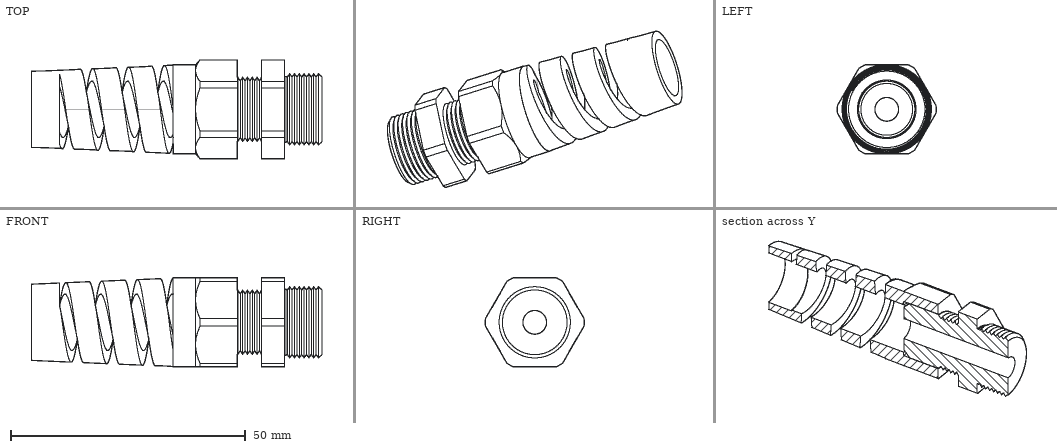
import cadquery as cq
import math


hex_across_flats = 19.05
hex_corner_diameter = 21.14

tail_ring_end = 6.0
collar_start = 30.2
hex_start = 35.0
nut_end = 43.9
body_hex_start = 49.05
body_hex_end = 54.0
gland_end = 61.98

tail_tip_radius = 8.15
tail_base_radius = 9.45
tail_ring_bore_radius = 6.25
coil_bore_radius = 6.0
spiral_pitch = 7.62
spiral_slot_inner_width = 2.3
spiral_slot_draft = 4.0
spiral_turns = 4
spiral_overcut = 1.0

collar_radius = hex_across_flats / 2
hex_bevel_length = 0.95

cable_hole_radius = 2.5
shank_end_radius = 5.52
thread_pitch = 1.02
shank_thread_crest_radius = 6.85
shank_thread_root_radius = 6.1
entry_thread_crest_radius = 7.6
entry_thread_root_radius = 6.9
first_shank_crest = 44.03
shank_crest_count = 5
neck_radius = 7.05
neck_end = 54.3
first_entry_crest = 55.08
entry_crest_count = 7


def revolve_about_x(points):
    """Solid of revolution about X from a closed outline of (x, radius) points."""
    return cq.Workplane("XZ").polyline(points).close().revolve(360, (0, 0, 0), (1, 0, 0))


def cylinder(x_start, x_end, radius):
    """Cylinder on the X axis."""
    return cq.Workplane("YZ").workplane(offset=x_start).circle(radius).extrude(x_end - x_start)


def hexagon(x_start, x_end):
    """Hexagonal bar with flats at +Z and -Z and its corners turned down."""
    sharp_corner_diameter = hex_across_flats / math.cos(math.pi / 6)
    bar = cq.Workplane("YZ").workplane(offset=x_start)
    bar = bar.polygon(6, sharp_corner_diameter).extrude(x_end - x_start)
    return bar.intersect(cylinder(x_start, x_end, hex_corner_diameter / 2))


def tail_and_collar():
    """Tapered tail tube and the straight collar behind it, before the spiral slot is cut."""
    return revolve_about_x([
        (0, tail_ring_bore_radius),
        (0, tail_tip_radius),
        (collar_start, tail_base_radius),
        (collar_start, collar_radius),
        (hex_start, collar_radius),
        (hex_start, coil_bore_radius),
        (tail_ring_end, coil_bore_radius),
        (tail_ring_end, tail_ring_bore_radius),
    ])


def spiral_slot():
    """Right-handed helical cutter, limited to the length between the tail ring and the collar.

    Its centre line crosses +Z at the end of the tail ring.
    """
    inner = coil_bore_radius - spiral_overcut
    outer = tail_base_radius + spiral_overcut
    middle = (inner + outer) / 2
    path = cq.Wire.makeHelix(spiral_pitch, spiral_turns * spiral_pitch, middle)
    draft_slope = math.tan(math.radians(spiral_slot_draft))
    inner_half = spiral_slot_inner_width / 2 - spiral_overcut * draft_slope
    outer_half = inner_half + (outer - inner) * draft_slope
    cutter = (
        cq.Workplane("XZ")
        .polyline([(inner, -inner_half), (outer, -outer_half), (outer, outer_half), (inner, inner_half)])
        .close()
        .sweep(cq.Workplane(path), isFrenet=True)
    )
    slot_start = tail_ring_end - spiral_pitch / 2
    cutter = cutter.rotate((0, 0, 0), (0, 1, 0), 90).translate((slot_start, 0, 0))
    return cutter.intersect(cylinder(tail_ring_end, collar_start, outer + spiral_overcut))


def bevelled_nut_hexagon():
    """Hexagon of the dome nut, coned down to the collar at its tail end."""
    cone = revolve_about_x([
        (hex_start, 0),
        (hex_start, collar_radius),
        (hex_start + hex_bevel_length, hex_corner_diameter / 2),
        (nut_end, hex_corner_diameter / 2),
        (nut_end, 0),
    ])
    return hexagon(hex_start, nut_end).intersect(cone)


def make_dome_nut():
    """Dome nut in one piece with its spiral tail."""
    hexagon_part = bevelled_nut_hexagon().cut(cylinder(hex_start, nut_end, shank_thread_crest_radius))
    return tail_and_collar().cut(spiral_slot()).union(hexagon_part)


def thread_points(first_crest, count, crest_radius, root_radius):
    """Outline of ring-shaped V threads: each crest followed by its root."""
    points = []
    for index in range(count):
        crest = first_crest + index * thread_pitch
        points.append((crest, crest_radius))
        points.append((crest + thread_pitch / 2, root_radius))
    return points


def make_gland_body():
    """Gland body: shank inside the nut, two threads, hexagon and cable hole."""
    shank_chamfer = shank_thread_crest_radius - shank_end_radius
    shank_threads = thread_points(
        first_shank_crest, shank_crest_count, shank_thread_crest_radius, shank_thread_root_radius
    )
    shank = revolve_about_x([
        (hex_start, cable_hole_radius),
        (hex_start, shank_end_radius),
        (hex_start + shank_chamfer, shank_thread_crest_radius),
        *shank_threads,
        (body_hex_start, shank_thread_crest_radius),
        (body_hex_start, cable_hole_radius),
    ])

    entry_threads = thread_points(
        first_entry_crest, entry_crest_count, entry_thread_crest_radius, entry_thread_root_radius
    )[:-1]
    entry = revolve_about_x([
        (body_hex_end, cable_hole_radius),
        (body_hex_end, neck_radius),
        (neck_end, neck_radius),
        (first_entry_crest - thread_pitch / 2, entry_thread_root_radius),
        *entry_threads,
        (gland_end, entry_thread_root_radius),
        (gland_end, cable_hole_radius),
    ])

    body_hexagon = hexagon(body_hex_start, body_hex_end)
    body_hexagon = body_hexagon.cut(cylinder(body_hex_start, body_hex_end, cable_hole_radius))
    return body_hexagon.union(shank).union(entry)


dome_nut = make_dome_nut()
gland_body = make_gland_body()

result = cq.Compound.makeCompound([dome_nut.solids().val(), gland_body.solids().val()])